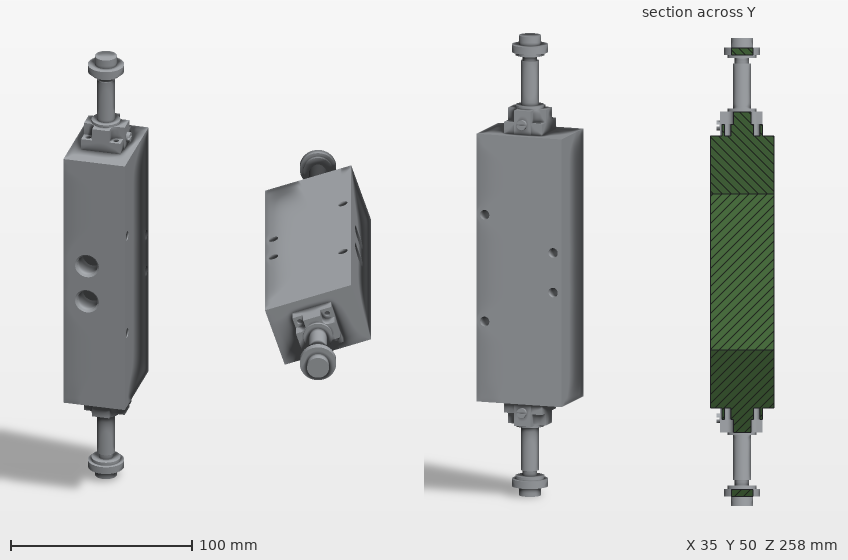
import cadquery as cq

WIDTH = 35.0
DEPTH = 50.0
BODY_HALF_LENGTH = 43.0
CAP_TOP = 75.0
TOTAL_LENGTH = 258.0
TIP = TOTAL_LENGTH / 2

PORT_DIAMETER = 11.5
PORT_DEPTH = 13.0
PORT_CHAMFER = 1.0
PORT_X = -4.0
PORT_Z = 10.8

MOUNT_DIAMETER = 5.5
MOUNT_Y = 20.0
FRONT_MOUNT_Z = 30.0
BACK_MOUNT_Z = 11.0

BASE_SIDE = 22.5
BASE_TOP = 88.5
NOTCH_FLOOR = 81.5
SCREW_OFFSET = 8.0
SCREW_DIAMETER = 3.0
NOTCH_RADIUS = 3.0
NOTCH_WALL = SCREW_OFFSET - NOTCH_RADIUS

PLATE_THICKNESS = 0.8
PLATE_FACE = BASE_SIDE / 2 + PLATE_THICKNESS
OVERRIDE_DIAMETER = 5.5
OVERRIDE_LENGTH = 2.0
OVERRIDE_Z = 80.8
SLOT_WIDTH = 1.0
SLOT_DEPTH = 1.5

COLLAR_DIAMETER = 16.0
COLLAR_TOP = 90.0
TUBE_DIAMETER = 10.0
TUBE_TOP = 114.8
NECK_DIAMETER = 8.0
WASHER_DIAMETER = 16.0
WASHER_BOTTOM = 118.0
NUT_DIAMETER = 20.0
NUT_BOTTOM = 119.7
NUT_TOP = 123.8
TIP_DIAMETER = 12.0


def cylinder_z(diameter, bottom, top):
    return cq.Workplane("XY").workplane(offset=bottom).circle(diameter / 2).extrude(top - bottom)


def block(x_size, y_size, bottom, top):
    return cq.Workplane("XY").workplane(offset=bottom).rect(x_size, y_size).extrude(top - bottom)


def make_valve_body():
    body = block(WIDTH, DEPTH, -BODY_HALF_LENGTH, BODY_HALF_LENGTH)

    mount_points = []
    for side in (-1, 1):
        mount_points.append((-MOUNT_Y, side * FRONT_MOUNT_Z))
        mount_points.append((MOUNT_Y, side * BACK_MOUNT_Z))
    mounts = (
        cq.Workplane("YZ").pushPoints(mount_points).circle(MOUNT_DIAMETER / 2).extrude(WIDTH, both=True)
    )
    body = body.cut(mounts)

    radius = PORT_DIAMETER / 2
    face = -DEPTH / 2
    port_profile = [
        (0, face),
        (radius + PORT_CHAMFER, face),
        (radius, face + PORT_CHAMFER),
        (radius, face + PORT_DEPTH),
        (0, face + PORT_DEPTH),
    ]
    port = cq.Workplane("XY").polyline(port_profile).close().revolve(360, (0, 0, 0), (0, 1, 0))
    for z in (-PORT_Z, PORT_Z):
        body = body.cut(port.translate((PORT_X, 0, z)))
    return body


def make_pilot_base():
    base = block(BASE_SIDE, BASE_SIDE, CAP_TOP, BASE_TOP)
    plate = block(PLATE_THICKNESS, 2 * NOTCH_WALL, CAP_TOP, BASE_TOP)
    base = base.union(plate.translate((PLATE_FACE - PLATE_THICKNESS / 2, 0, 0)))

    notch_center = NOTCH_WALL + BASE_SIDE / 2
    notch = (
        block(BASE_SIDE, BASE_SIDE, NOTCH_FLOOR, BASE_TOP)
        .translate((notch_center, notch_center, 0))
        .edges("|Z and <X and <Y")
        .fillet(NOTCH_RADIUS)
    )
    screw_hole = cylinder_z(SCREW_DIAMETER, CAP_TOP, NOTCH_FLOOR).translate((SCREW_OFFSET, SCREW_OFFSET, 0))
    corner_cut = notch.union(screw_hole)
    for quarter in range(4):
        base = base.cut(corner_cut.rotate((0, 0, 0), (0, 0, 1), 90 * quarter))
    return base


def make_override():
    button = (
        cq.Workplane("YZ", origin=(PLATE_FACE, 0, OVERRIDE_Z))
        .circle(OVERRIDE_DIAMETER / 2)
        .extrude(OVERRIDE_LENGTH)
    )
    slot = cq.Workplane("XY").box(2 * SLOT_DEPTH, OVERRIDE_DIAMETER, SLOT_WIDTH)
    return button.cut(slot.translate((PLATE_FACE + OVERRIDE_LENGTH, 0, OVERRIDE_Z)))


def make_stem():
    profile = [
        (0, BASE_TOP),
        (COLLAR_DIAMETER / 2, BASE_TOP),
        (COLLAR_DIAMETER / 2, COLLAR_TOP),
        (TUBE_DIAMETER / 2, COLLAR_TOP),
        (TUBE_DIAMETER / 2, TUBE_TOP),
        (NECK_DIAMETER / 2, TUBE_TOP),
        (NECK_DIAMETER / 2, WASHER_BOTTOM),
        (WASHER_DIAMETER / 2, WASHER_BOTTOM),
        (WASHER_DIAMETER / 2, NUT_BOTTOM),
        (NUT_DIAMETER / 2, NUT_BOTTOM),
        (NUT_DIAMETER / 2, NUT_TOP),
        (TIP_DIAMETER / 2, NUT_TOP),
        (TIP_DIAMETER / 2, TIP),
        (0, TIP),
    ]
    return cq.Workplane("XZ").polyline(profile).close().revolve(360, (0, 0, 0), (0, 1, 0))


def make_end_unit():
    cap = block(WIDTH, DEPTH, BODY_HALF_LENGTH, CAP_TOP)
    return cap.union(make_pilot_base()).union(make_override()).union(make_stem())


valve_body = make_valve_body()
upper_unit = make_end_unit()
end_units = [upper_unit, upper_unit.mirror("XY")]

result = cq.Compound.makeCompound([valve_body.val(), *[unit.val() for unit in end_units]])